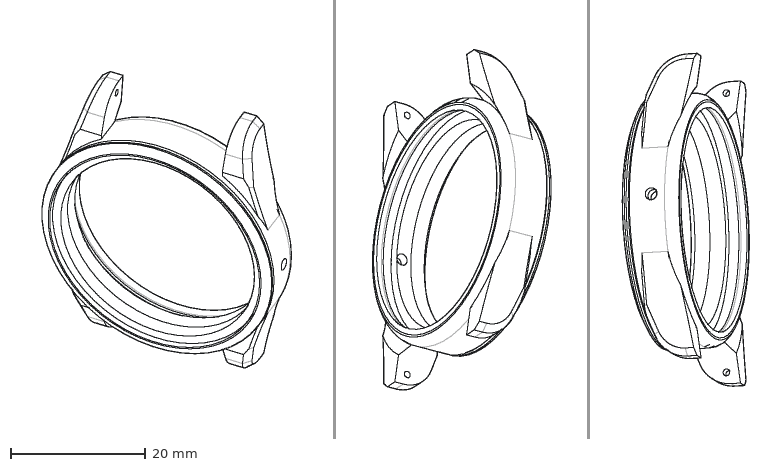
import cadquery as cq
import math

OUTER_DIA = 38.0
LUG_SPAN = 45.85
LUG_TIP_Y = 9.95

BEZEL_RIM_Y = 0.75
CRYSTAL_SEAT_Y = 1.0
BEZEL_BACK_Y = 1.3
MOVEMENT_FRONT_Y = 3.35
MOVEMENT_BACK_Y = 5.82
CASE_BACK_FRONT_Y = 7.5
CASE_BACK_FLARE_Y = 7.85
CASE_EDGE_Y = 7.0
CASE_REAR_Y = 8.9

BEZEL_FACE_DIA = 35.2
GROOVE_DIA = 37.5
CRYSTAL_DIA = 34.7
RING_BORE_DIA = 32.0
CASE_BORE_DIA = 35.2
CASE_REAR_DIA = 35.85
CASE_BACK_BORE_DIA = 34.2
CASE_BACK_REAR_DIA = 33.5

CROWN_HOLE_DIA = 1.8
CROWN_HOLE_Y = 4.9
CROWN_HOLE_Z = 0.6

LUG_INNER_X = 10.0
LUG_TIP_X = 13.1
LUG_SIDE_MID = (15.0, 15.15)
LUG_ROOT = (18.25, 5.27)
LUG_TOP_Y = 8.5
LUG_NOSE_END = (3.55, 19.55)
LUG_FRONT_Y = 2.48
LUG_BACK_ROOT_Y = 7.45
LUG_BACK_RISE = 1.2
LUG_CHAMFER = 1.0
LUG_FRONT_CHAMFER = 0.5

PIN_HOLE_DIA = 1.0
PIN_HOLE_Y = 7.75
PIN_HOLE_Z = 21.2
PIN_HOLE_DEPTH = 1.38

outer_r = OUTER_DIA / 2
groove_r = GROOVE_DIA / 2
groove_chamfer = outer_r - groove_r
half_span = LUG_SPAN / 2


def revolved(points):
    """Ring about the Y axis from an outline of (radius, y) points."""
    return cq.Workplane("XY").polyline(points).close().revolve(360, (0, 0, 0), (0, 1, 0))


def crown_hole():
    return (
        cq.Workplane("YZ", origin=(0, CROWN_HOLE_Y, CROWN_HOLE_Z))
        .circle(CROWN_HOLE_DIA / 2)
        .extrude(OUTER_DIA)
    )


def make_bezel():
    return revolved([
        (CRYSTAL_DIA / 2, 0),
        (BEZEL_FACE_DIA / 2, 0),
        (outer_r, BEZEL_RIM_Y),
        (outer_r, BEZEL_BACK_Y - groove_chamfer),
        (groove_r, BEZEL_BACK_Y),
        (CRYSTAL_DIA / 2, BEZEL_BACK_Y),
    ])


def make_crystal_ring():
    return revolved([
        (RING_BORE_DIA / 2, CRYSTAL_SEAT_Y),
        (CRYSTAL_DIA / 2, CRYSTAL_SEAT_Y),
        (CRYSTAL_DIA / 2, MOVEMENT_FRONT_Y),
        (RING_BORE_DIA / 2, MOVEMENT_FRONT_Y),
    ])


def make_movement_ring():
    ring = revolved([
        (RING_BORE_DIA / 2, MOVEMENT_FRONT_Y),
        (CASE_BORE_DIA / 2, MOVEMENT_FRONT_Y),
        (CASE_BORE_DIA / 2, MOVEMENT_BACK_Y),
        (RING_BORE_DIA / 2, MOVEMENT_BACK_Y),
    ])
    return ring.cut(crown_hole())


def make_case_back():
    outline = (
        cq.Workplane("XY")
        .moveTo(CASE_BORE_DIA / 2, CASE_REAR_Y)
        .lineTo(CASE_BORE_DIA / 2, CASE_BACK_FRONT_Y)
        .lineTo(CASE_BACK_BORE_DIA / 2, CASE_BACK_FRONT_Y)
        .lineTo(CASE_BACK_BORE_DIA / 2, CASE_BACK_FLARE_Y)
        .tangentArcPoint((CASE_BACK_REAR_DIA / 2, CASE_REAR_Y), relative=False)
        .close()
    )
    return outline.revolve(360, (0, 0, 0), (0, 1, 0))


def make_case_wall():
    outline = (
        cq.Workplane("XY")
        .moveTo(CRYSTAL_DIA / 2, BEZEL_BACK_Y)
        .lineTo(groove_r, BEZEL_BACK_Y)
        .lineTo(outer_r, BEZEL_BACK_Y + groove_chamfer)
        .lineTo(outer_r, CASE_EDGE_Y)
        .tangentArcPoint((CASE_REAR_DIA / 2, CASE_REAR_Y), relative=False)
        .lineTo(CASE_BORE_DIA / 2, CASE_REAR_Y)
        .lineTo(CASE_BORE_DIA / 2, MOVEMENT_FRONT_Y)
        .lineTo(CRYSTAL_DIA / 2, MOVEMENT_FRONT_Y)
        .close()
    )
    return outline.revolve(360, (0, 0, 0), (0, 1, 0))


def make_lug():
    """Lug of the +X +Z corner."""
    root_x, root_z = LUG_ROOT
    nose_y, nose_z = LUG_NOSE_END
    nose_angle = 2 * math.atan2(half_span - nose_z, LUG_TOP_Y - nose_y)
    rear_y = 2 * LUG_TIP_Y

    plan = (
        cq.Workplane("XZ")
        .moveTo(LUG_INNER_X, root_z)
        .lineTo(root_x, root_z)
        .threePointArc(LUG_SIDE_MID, (LUG_TIP_X, half_span))
        .lineTo(LUG_INNER_X, half_span)
        .close()
        .extrude(-rear_y)
    )
    nose = (
        cq.Workplane("YZ")
        .moveTo(rear_y, half_span)
        .lineTo(LUG_TOP_Y, half_span)
        .tangentArcPoint(LUG_NOSE_END, relative=False)
        .lineTo(0, nose_z - nose_y * math.tan(nose_angle))
        .lineTo(0, root_z)
        .lineTo(rear_y, root_z)
        .close()
        .extrude(outer_r)
    )
    blank = plan.intersect(nose)
    curved_side = blank.faces(cq.selectors.NearestToPointSelector((LUG_SIDE_MID[0], rear_y / 2, LUG_SIDE_MID[1])))
    nose_edges = curved_side.edges(cq.selectors.BoxSelector((0, 0.45, root_z + 0.45), (outer_r, rear_y - 0.45, LUG_SPAN)))
    blank = nose_edges.chamfer(LUG_CHAMFER)

    front_and_back = (
        cq.Workplane("YZ")
        .moveTo(LUG_FRONT_Y, root_z)
        .lineTo(LUG_FRONT_Y, half_span)
        .lineTo(LUG_TIP_Y, half_span)
        .lineTo(LUG_BACK_ROOT_Y, root_z)
        .close()
        .extrude(outer_r)
    )
    lug = blank.intersect(front_and_back)
    lug = lug.faces("<Y").edges("%CIRCLE").chamfer(LUG_FRONT_CHAMFER)

    pin_hole = (
        cq.Workplane("YZ", origin=(LUG_INNER_X, PIN_HOLE_Y, PIN_HOLE_Z))
        .circle(PIN_HOLE_DIA / 2)
        .extrude(PIN_HOLE_DEPTH)
    )
    rear_relief = revolved([
        (0, CASE_EDGE_Y),
        (outer_r, CASE_EDGE_Y),
        (2 * outer_r, CASE_EDGE_Y + LUG_BACK_RISE * outer_r),
        (0, CASE_EDGE_Y + LUG_BACK_RISE * outer_r),
    ])
    case_inside = cq.Workplane("XZ").circle(CASE_REAR_DIA / 2).extrude(-rear_y)
    return lug.cut(pin_hole).cut(rear_relief).cut(case_inside)


def make_case():
    upper_right = make_lug()
    upper_left = upper_right.mirror("YZ")
    case = make_case_wall()
    for lug in (upper_right, upper_left):
        case = case.union(lug).union(lug.mirror("XY"))
    return case.cut(crown_hole())


bezel = make_bezel()
crystal_ring = make_crystal_ring()
movement_ring = make_movement_ring()
case = make_case()
case_back = make_case_back()

result = cq.Compound.makeCompound([
    bezel.val(),
    crystal_ring.val(),
    movement_ring.val(),
    case.val(),
    case_back.val(),
])